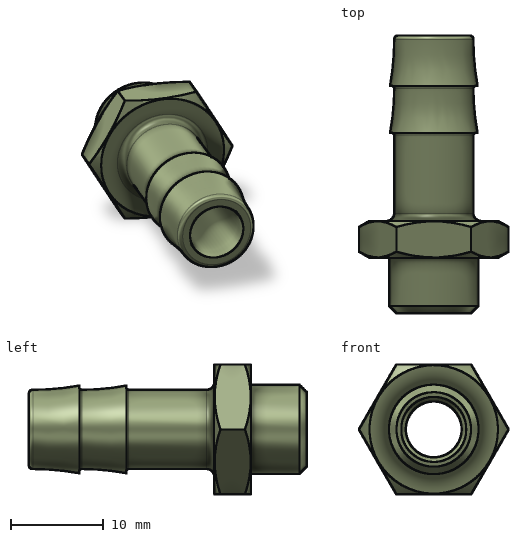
import cadquery as cq
import math

TOTAL_LENGTH = 30.0
SPIGOT_LENGTH = 6.0
HEX_THICKNESS = 4.0

SPIGOT_RADIUS = 4.83
SPIGOT_CHAMFER = 0.8

HEX_ACROSS_FLATS = 14.0
HEX_CHAMFER_ANGLE = 30.0
HEX_FACE_RADIUS = 6.93

NECK_RADIUS = 4.3
NECK_FILLET = 0.8
BARB_RADIUS = 4.75
BARB_ROOT_FILLET = 0.25
BARB_LENGTH = 4.8
BARB_GROOVE = 0.27
REAR_BARB_Y = 19.47
TIP_ROUND = 0.45

BORE_RADIUS = 3.0
BORE_CHAMFER = 0.5

HEX_TOP_Y = SPIGOT_LENGTH + HEX_THICKNESS
FRONT_BARB_Y = REAR_BARB_Y + BARB_LENGTH + BARB_GROOVE


def revolve_about_y(profile):
    return profile.close().revolve(360, (0, 0, 0), (0, 1, 0))


def spigot():
    """Plain cylinder with a chamfered lead-in."""
    body = cq.Workplane("XZ").circle(SPIGOT_RADIUS).extrude(-HEX_TOP_Y)
    return body.faces("<Y").chamfer(SPIGOT_CHAMFER)


def hexagon():
    """Hexagon whose corners are turned down by a cone at both ends."""
    corner_radius = HEX_ACROSS_FLATS / math.sqrt(3)
    prism = (
        cq.Workplane("XZ", origin=(0, SPIGOT_LENGTH, 0))
        .polygon(6, 2 * corner_radius)
        .extrude(-HEX_THICKNESS)
    )
    slope = math.tan(math.radians(HEX_CHAMFER_ANGLE))
    corner_drop = (corner_radius - HEX_FACE_RADIUS) * slope
    envelope = (
        cq.Workplane("XY")
        .moveTo(0, SPIGOT_LENGTH)
        .lineTo(HEX_FACE_RADIUS, SPIGOT_LENGTH)
        .lineTo(corner_radius, SPIGOT_LENGTH + corner_drop)
        .lineTo(corner_radius, HEX_TOP_Y - corner_drop)
        .lineTo(HEX_FACE_RADIUS, HEX_TOP_Y)
        .lineTo(0, HEX_TOP_Y)
    )
    return prism.intersect(revolve_about_y(envelope))


def add_barb(profile, edge_y, front_y):
    """Step out from the neck to the barb edge, then sweep back in along a hollow flare.

    The flare is an arc that meets the neck radius tangentially at front_y.
    """
    barb_height = BARB_RADIUS - NECK_RADIUS
    flare_length = front_y - edge_y
    flare_radius = (flare_length**2 + barb_height**2) / (2 * barb_height)
    return (
        profile.lineTo(NECK_RADIUS, edge_y - BARB_ROOT_FILLET)
        .radiusArc((NECK_RADIUS + BARB_ROOT_FILLET, edge_y), BARB_ROOT_FILLET)
        .lineTo(BARB_RADIUS, edge_y)
        .radiusArc((NECK_RADIUS, front_y), flare_radius)
    )


def hose_tail():
    """Neck filleted into the hexagon, two flared barbs and a rounded tip."""
    profile = (
        cq.Workplane("XY")
        .moveTo(0, HEX_TOP_Y)
        .lineTo(NECK_RADIUS + NECK_FILLET, HEX_TOP_Y)
        .radiusArc((NECK_RADIUS, HEX_TOP_Y + NECK_FILLET), NECK_FILLET)
    )
    profile = add_barb(profile, REAR_BARB_Y, REAR_BARB_Y + BARB_LENGTH)
    profile = add_barb(profile, FRONT_BARB_Y, TOTAL_LENGTH - TIP_ROUND)
    profile = (
        profile.radiusArc((NECK_RADIUS - TIP_ROUND, TOTAL_LENGTH), -TIP_ROUND)
        .lineTo(0, TOTAL_LENGTH)
        .lineTo(0, HEX_TOP_Y)
    )
    return revolve_about_y(profile)


def bore():
    """Through bore with a countersunk mouth in the spigot."""
    profile = (
        cq.Workplane("XY")
        .lineTo(BORE_RADIUS + BORE_CHAMFER, 0)
        .lineTo(BORE_RADIUS, BORE_CHAMFER)
        .lineTo(BORE_RADIUS, TOTAL_LENGTH)
        .lineTo(0, TOTAL_LENGTH)
    )
    return revolve_about_y(profile)


result = spigot().union(hexagon()).union(hose_tail()).cut(bore())